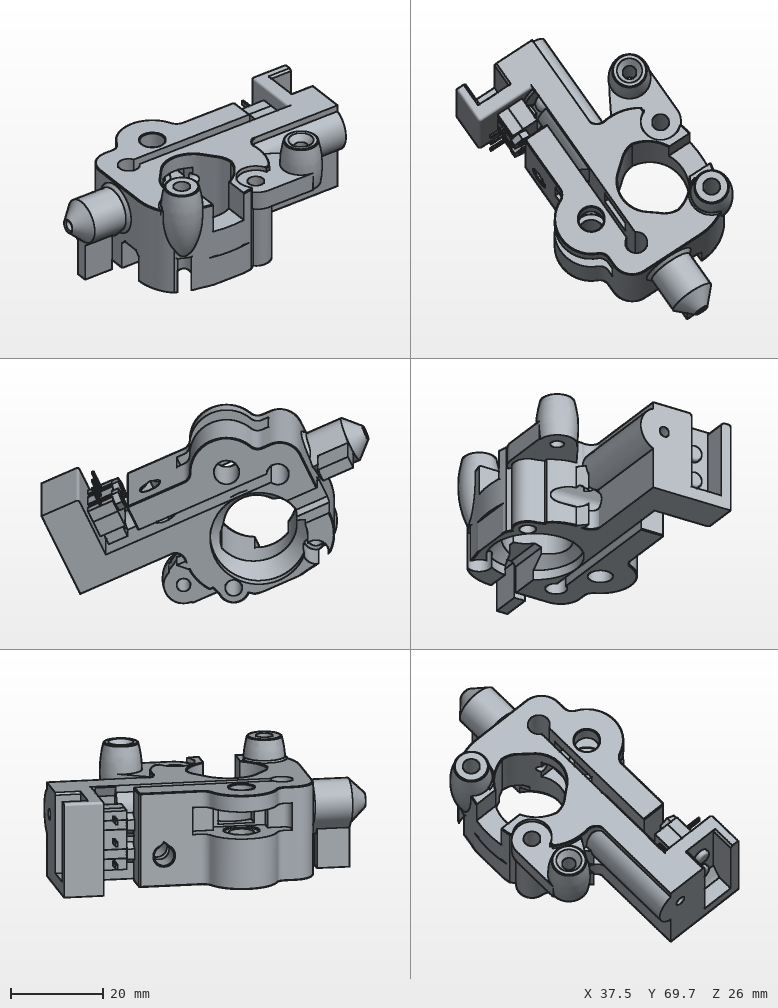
import cadquery as cq
import math

body_height = 21.0
rear_y = 57.0
edge_chamfer = 0.2

path_x = 17.25
path_z = 14.5
path_dia = 2.36

lug_x = 8.0
lug_y = 16.3
lug_radius = lug_x
lug_hole_dia = 5.5
lug_counterbore_dia = 7.9
lug_counterbore_depth = 0.4
recess_front_y = 5.4
recess_rear_y = 27.4
recess_depth_x = 9.2
recess_round = 1.4
recess_bottom_z = 11.3
recess_top_z = 17.35

arm_left_x = 6.1
arm_rear_y = 39.35
arm_edge = 0.4
slit_left_x = 12.0
slit_right_x = 14.2
slit_end_y = 6.4
slit_end_dia = 4.8
clamp_hole_y = 33.75
clamp_hole_z = 6.8
clamp_hole_dia = 4.4

column_right_x = 23.3
column_flat_x = 20.1
bulge_half_height = 4.95
crossbar_left_x = 0.2
crossbar_front_y = 48.1
crossbar_round = 0.6

gear_y = 16.4
gear_x = 24.85
shaft_boss_radius = 10.6
shaft_boss_depth = 2.3
wall_x = 36.9

boss_x = 32.9
front_boss_y = 6.5
rear_boss_y = 38.2
pivot_y = 26.2
boss_radius = 4.6
boss_top_radius = 3.75
boss_top_z = 26.0
mount_hole_dia = 3.7
plate_bottom_z = 15.5
plate_top_z = 19.9
pivot_recess_dia = 8.6
pivot_wall_radius = 3.5

nose_radius = 5.0
nose_length = 9.1
nose_tip_y = -12.65
nose_tip_radius = 1.6
flare = 0.8
rib_width = 2.75

switch_left_x = 5.0
switch_seam_x = 7.7
switch_right_x = 11.4
switch_front_y = 42.2
switch_height = 13.1
switch_z = 11.05
switch_bottom_z = switch_z - switch_height / 2
screw_x = 6.45
screw_spacing = 6.5
screw_center_z = switch_z + 0.18
screw_zs = [screw_center_z + side * screw_spacing / 2 for side in (-1, 1)]
screw_dia = 2.0
nut_flats = 4.0
nut_thickness = 1.6
pocket_wall_y = 51.4
plunger_y = 45.15

sensor_half_width = 2.25
sensor_deep_x = 15.3
sensor_ramp_x = 11.8
sensor_ramp_z = 5.7

ball_dia = 4.0
ball_overlap = 0.05
ball_x = path_x + ball_overlap - ball_dia / 2
ball_channel_dia = 4.3


def box(x0, x1, y0, y1, z0, z1):
    """Block given by its limits along each axis."""
    return cq.Workplane("XY").box(x1 - x0, y1 - y0, z1 - z0, centered=False).translate((x0, y0, z0))


def z_cylinder(x, y, diameter, z0, z1):
    return cq.Workplane("XY", origin=(x, y, z0)).circle(diameter / 2).extrude(z1 - z0)


def y_cylinder(x, z, diameter, y0, y1):
    """Cylinder along Y from y0 back to y1 (y1 > y0)."""
    return cq.Workplane("XZ", origin=(x, y0, z)).circle(diameter / 2).extrude(y0 - y1)


def x_cylinder(y, z, diameter, x0, x1):
    return cq.Workplane("YZ", origin=(x0, y, z)).circle(diameter / 2).extrude(x1 - x0)


def core():
    """Full-height block around the gear chamber, with the clamp arm and idler lug."""
    corner = 4.95
    lug_blend = 2.25
    reach = lug_radius + lug_blend
    blend_x = arm_left_x - lug_blend
    blend_half = math.sqrt(reach**2 - (lug_x - blend_x) ** 2)
    tangent_half = blend_half * lug_radius / reach
    tangent_x = lug_x + (blend_x - lug_x) * lug_radius / reach
    blend_angle = math.atan2(-blend_half, lug_x - blend_x) / 2
    mid_dx = lug_blend * math.cos(blend_angle)
    mid_dy = lug_blend * math.sin(blend_angle)
    diagonal = corner * (1 - math.sqrt(0.5))
    pivot_mid = pivot_wall_radius * math.sqrt(0.5)

    outline = (
        cq.Workplane("XY")
        .moveTo(arm_left_x + corner, 0)
        .lineTo(26.0, 0)
        .threePointArc((28.15, 0.22), (30.2, 0.83))
        .threePointArc((32.35, 1.95), (34.2, 3.6))
        .lineTo(35.5, front_boss_y)
        .lineTo(36.1, 10.1)
        .threePointArc((wall_x, gear_y), (36.2, 22.7))
        .lineTo(boss_x + pivot_mid, pivot_y - pivot_mid)
        .threePointArc((boss_x + pivot_wall_radius, pivot_y), (boss_x, pivot_y + pivot_wall_radius))
        .lineTo(31.1, 30.3)
        .lineTo(31.1, 31.1)
        .threePointArc((28.2, 32.6), (24.8, 33.2))
        .lineTo(column_right_x, 33.2)
        .threePointArc((21.1, 33.5), (column_flat_x, 34.9))
        .lineTo(column_flat_x, arm_rear_y)
        .lineTo(arm_left_x + arm_edge, arm_rear_y)
        .lineTo(arm_left_x, arm_rear_y - arm_edge)
        .lineTo(arm_left_x, lug_y + blend_half)
        .threePointArc(
            (blend_x + mid_dx, lug_y + blend_half + mid_dy), (tangent_x, lug_y + tangent_half)
        )
        .threePointArc((lug_x - lug_radius, lug_y), (tangent_x, lug_y - tangent_half))
        .threePointArc(
            (blend_x + mid_dx, lug_y - blend_half - mid_dy), (arm_left_x, lug_y - blend_half)
        )
        .lineTo(arm_left_x, corner)
        .threePointArc((arm_left_x + diagonal, diagonal), (arm_left_x + corner, 0))
        .close()
    )
    return outline.extrude(body_height).faces("|Z").edges().chamfer(edge_chamfer)


def bulge(side_x, crown_x, front_y):
    """Round bulge along the filament path, from a side wall of the column out to its crown."""
    return (
        cq.Workplane("XZ", origin=(0, rear_y, 0))
        .moveTo(side_x, path_z - bulge_half_height)
        .threePointArc((crown_x, path_z), (side_x, path_z + bulge_half_height))
        .close()
        .extrude(rear_y - front_y)
    )


def column():
    """Upright bar behind the core, bulged on both sides around the filament path."""
    left_crown_x = 12.05
    left_front_y = 26.3
    right_front_y = 30.0
    depth = slit_right_x - left_crown_x
    slope = (
        cq.Workplane("XY")
        .polyline(
            [
                (left_crown_x, left_front_y),
                (slit_right_x, left_front_y),
                (left_crown_x, left_front_y + depth),
            ]
        )
        .close()
        .extrude(body_height)
    )
    left_bulge = bulge(slit_right_x, left_crown_x, left_front_y).cut(slope)
    bar = box(slit_right_x, column_flat_x, right_front_y, rear_y, 0, body_height)
    return bar.union(left_bulge).union(bulge(column_flat_x, column_right_x, right_front_y))


def gusset():
    """Small corner wedge between the right bulge and the core."""
    corner_x = 22.9
    corner_y = 33.0
    leg = 2.2
    return (
        cq.Workplane("XY")
        .polyline([(corner_x, corner_y), (corner_x + leg, corner_y), (corner_x, corner_y + leg)])
        .close()
        .extrude(path_z)
    )


def crossbar():
    """Bar that carries the microswitch, with a screw pocket in its rear side."""
    bar = box(crossbar_left_x, slit_right_x + 1, crossbar_front_y, rear_y, 0, body_height)
    bar = bar.edges("(>Z and <X) or (>Z and <Y) or (<X and <Y)").fillet(crossbar_round)

    pocket_left_x = 2.6
    pocket_right_x = 10.2
    pocket_floor_z = 3.0
    profile = [
        (rear_y, pocket_floor_z),
        (53.35, pocket_floor_z),
        (52.7, pocket_floor_z + 0.8),
        (pocket_wall_y, pocket_floor_z + 2.8),
        (pocket_wall_y, body_height),
        (rear_y, body_height),
    ]
    pocket = (
        cq.Workplane("YZ", origin=(pocket_left_x, 0, 0))
        .polyline(profile)
        .close()
        .extrude(pocket_right_x - pocket_left_x)
    )
    lip = 0.5
    lip_cut = (
        cq.Workplane("XZ", origin=(0, rear_y, 0))
        .polyline(
            [
                (pocket_left_x, body_height - lip),
                (pocket_right_x, body_height - lip),
                (pocket_right_x + lip, body_height),
                (pocket_left_x - lip, body_height),
            ]
        )
        .close()
        .extrude(rear_y - pocket_wall_y)
    )
    return bar.cut(pocket).cut(lip_cut)


def nose():
    """Inlet nose with a cone tip, a flared root and a V-shaped underside standing on a thin rib."""
    root_radius = nose_radius + flare
    half_rib = rib_width / 2
    root_overlap = 0.5
    solid = (
        cq.Workplane("XY", origin=(path_x, 0, path_z))
        .polyline(
            [
                (0, root_overlap),
                (root_radius, root_overlap),
                (root_radius, 0),
                (nose_radius, -flare),
                (nose_radius, -nose_length),
                (nose_tip_radius, nose_tip_y),
                (0, nose_tip_y),
            ]
        )
        .close()
        .revolve(360, (0, 0, 0), (0, 1, 0))
    )

    tangent = nose_radius * math.sqrt(0.5)
    underside = (
        cq.Workplane("XZ", origin=(path_x, 0, 0))
        .polyline(
            [
                (-tangent, path_z - tangent),
                (tangent, path_z - tangent),
                (0, path_z - 2 * tangent),
            ]
        )
        .close()
        .extrude(nose_length)
    )
    rib_gap = 1.9
    rib_top_z = path_z - 2 * tangent + half_rib
    rib = box(path_x - half_rib, path_x + half_rib, -nose_length, -rib_gap, 0, rib_top_z)
    return solid.union(underside).union(rib)


def boss(y, bottom_z):
    """Barrel-shaped mounting boss whose lower end tapers into the wall."""
    belt_bottom_z = 18.9
    belt_top_z = 19.7
    tail_radius = 2.4
    tail_z = 9.4
    barrel = (
        cq.Workplane("XZ", origin=(boss_x, y, 0))
        .moveTo(0, tail_z)
        .lineTo(tail_radius, tail_z)
        .threePointArc((4.0, 14.0), (boss_radius, belt_bottom_z))
        .lineTo(boss_radius, belt_top_z)
        .threePointArc((4.4, 22.9), (boss_top_radius, boss_top_z))
        .lineTo(0, boss_top_z)
        .close()
        .revolve(360, (0, 0, 0), (0, 1, 0))
        .faces(">Z")
        .chamfer(edge_chamfer)
    )
    return barrel.intersect(z_cylinder(boss_x, y, 3 * boss_radius, bottom_z, boss_top_z))


def front_boss_collar():
    """Low chamfered pad around the foot of the front boss."""
    collar_height = 0.4
    collar_radius = boss_radius + collar_height
    pad = z_cylinder(boss_x, front_boss_y, 2 * collar_radius, plate_top_z, body_height + collar_height)
    pad = pad.faces(">Z").chamfer(collar_height)
    return pad.intersect(box(0, boss_x - 1, 0, rear_y, 0, boss_top_z))


def side_plate():
    """Plate that carries the rear boss and the pivot hole."""
    plate_right_x = boss_x + boss_radius
    inner_x = 24.8
    outline = (
        cq.Workplane("XY", origin=(0, 0, plate_bottom_z))
        .moveTo(plate_right_x, rear_boss_y)
        .lineTo(plate_right_x, pivot_y)
        .threePointArc((36.9, 24.2), (boss_x, pivot_y - pivot_recess_dia / 2))
        .lineTo(inner_x, 28.0)
        .lineTo(inner_x, 33.3)
        .lineTo(28.6, 39.8)
        .lineTo(boss_x, rear_boss_y)
        .close()
    )
    return outline.extrude(plate_top_z - plate_bottom_z)


def gear_opening():
    """Lobed vertical opening for the drive gear, chamfered at its upper rim."""
    half_width = 8.85
    right_x = 31.95
    left_x = 16.3
    shoulder_x = 22.8
    shoulder_half = 8.35
    flank_outer = (21.0, 7.1)
    flank_inner = (18.55, 5.1)
    lobes = (
        cq.Workplane("XY", origin=(0, gear_y, 0))
        .moveTo(gear_x, half_width)
        .threePointArc((right_x, 0), (gear_x, -half_width))
        .threePointArc((shoulder_x, -shoulder_half), (flank_outer[0], -flank_outer[1]))
        .lineTo(flank_inner[0], -flank_inner[1])
        .threePointArc((left_x, 0), flank_inner)
        .lineTo(*flank_outer)
        .threePointArc((shoulder_x, shoulder_half), (gear_x, half_width))
        .close()
        .extrude(body_height - edge_chamfer)
    )
    rim = lobes.faces(">Z").wires().toPending().extrude(edge_chamfer, taper=-45, combine=False)
    return lobes.union(rim)


def motor_seat():
    """Round seat at the bottom of the gear opening, closing upward in a 45 degree cone."""
    seat = z_cylinder(gear_x, gear_y, 2 * shaft_boss_radius, 0, shaft_boss_depth)
    cone_height = 5.0
    cone = cq.Workplane("XY").add(
        cq.Solid.makeCone(
            shaft_boss_radius,
            shaft_boss_radius - cone_height,
            cone_height,
            pnt=cq.Vector(gear_x, gear_y, shaft_boss_depth),
        )
    )
    return seat.union(cone)


def side_slot():
    """Opening from the gear chamber out through the right wall."""
    slot_floor_z = 14.0
    half_width = 4.05
    return box(gear_x, wall_x + 1, lug_y - half_width, lug_y + half_width, slot_floor_z, body_height)


def wall_relief():
    """Shallow flat along the foot of the right wall."""
    relief_x = 36.4
    relief_top_z = 7.4
    return box(relief_x, wall_x + 1, 0, rear_y, 0, relief_top_z)


def front_window():
    """Opening at the foot of the front face, with chamfered upper corners."""
    window_left_x = 19.5
    window_right_x = 25.9
    window_height = 7.6
    window_chamfer = 1.1
    window = box(window_left_x, window_right_x, 0, gear_y, 0, window_height)
    return window.edges("|Y and >Z").chamfer(window_chamfer)


def clamp_slit():
    slit = box(slit_left_x, slit_right_x, slit_end_y, crossbar_front_y, 0, body_height)
    end = z_cylinder((slit_left_x + slit_right_x) / 2, slit_end_y, slit_end_dia, 0, body_height)
    return slit.union(end)


def clamp_hole():
    """Teardrop cross hole through the clamp arm and column."""
    mouth = 0.25
    radius = clamp_hole_dia / 2
    tangent = radius * math.sqrt(0.5)
    hole = x_cylinder(clamp_hole_y, clamp_hole_z, clamp_hole_dia, 0, wall_x)
    roof = (
        cq.Workplane("YZ", origin=(0, clamp_hole_y, clamp_hole_z))
        .polyline([(-tangent, tangent), (0, radius * math.sqrt(2)), (tangent, tangent), (0, 0)])
        .close()
        .extrude(wall_x)
    )
    mouth_cone = cq.Solid.makeCone(
        radius + mouth,
        radius,
        mouth,
        pnt=cq.Vector(arm_left_x, clamp_hole_y, clamp_hole_z),
        dir=cq.Vector(1, 0, 0),
    )
    return hole.union(roof).union(cq.Workplane("XY").add(mouth_cone))


def axle_hole():
    """Axle hole of the idler lug, chamfered at its upper rim."""
    hole = z_cylinder(lug_x, lug_y, lug_hole_dia, 0, body_height)
    rim = z_cylinder(lug_x, lug_y, lug_hole_dia + 2 * edge_chamfer, 0, body_height)
    rim = rim.faces("<Z").chamfer(edge_chamfer).translate((0, 0, body_height - edge_chamfer))
    return hole.union(rim)


def idler_recess():
    """Stepped recess across the idler lug, open to the gear opening, with a ring around the axle."""
    roller_half = 6.0
    opening_half = 4.0
    recess = box(0, recess_depth_x, recess_front_y, recess_rear_y, recess_bottom_z, recess_top_z)
    recess = recess.edges("|Z and >X").fillet(recess_round)
    roller = box(
        0, slit_right_x, lug_y - roller_half, lug_y + roller_half, recess_bottom_z, recess_top_z
    )
    opening = box(
        0, gear_x, lug_y - opening_half, lug_y + opening_half, recess_bottom_z, recess_top_z
    )
    counterbore = z_cylinder(
        lug_x, lug_y, lug_counterbore_dia, recess_bottom_z - lug_counterbore_depth, recess_bottom_z
    )
    return recess.union(roller).union(opening).union(counterbore)


def sensor_ramp():
    """Steep ramp on the side of the column under the plunger; its slope is cut by the pocket."""
    return box(
        sensor_ramp_x,
        sensor_deep_x,
        plunger_y - sensor_half_width,
        plunger_y + sensor_half_width,
        sensor_ramp_z,
        path_z,
    )


def sensor_pocket():
    """Pocket beside the plunger, with sloped roof and floor, and the channel of the ball."""
    outer_x = 11.0
    roof_z = 20.7
    profile = [
        (outer_x, roof_z),
        (slit_right_x, roof_z),
        (sensor_deep_x, 18.5),
        (sensor_deep_x, 12.2),
        (sensor_ramp_x, sensor_ramp_z),
        (outer_x, sensor_ramp_z),
    ]
    pocket = (
        cq.Workplane("XZ", origin=(0, plunger_y + sensor_half_width, 0))
        .polyline(profile)
        .close()
        .extrude(2 * sensor_half_width)
    )
    return pocket.union(x_cylinder(plunger_y, path_z, ball_channel_dia, sensor_ramp_x, path_x))


def filament_bore():
    entry_dia = 3.0
    entry_depth = (entry_dia - path_dia) / 2
    bore = y_cylinder(path_x, path_z, path_dia, nose_tip_y, rear_y)
    entry = cq.Solid.makeCone(
        entry_dia / 2,
        path_dia / 2,
        entry_depth,
        pnt=cq.Vector(path_x, nose_tip_y, path_z),
        dir=cq.Vector(0, 1, 0),
    )
    return bore.union(cq.Workplane("XY").add(entry))


def boss_holes():
    """Vertical holes of both bosses and the pivot.

    The front hole widens at the bottom for a screw head, and the rear boss has a conical mouth.
    """
    rear_hole_dia = 3.0
    head_bore_dia = 5.5
    head_bore_depth = 8.9
    mouth_dia = 5.5
    mouth_depth = 1.5
    front = z_cylinder(boss_x, front_boss_y, mount_hole_dia, 0, boss_top_z)
    head_bore = z_cylinder(boss_x, front_boss_y, head_bore_dia, 0, head_bore_depth)
    pivot = z_cylinder(boss_x, pivot_y, mount_hole_dia, 0, boss_top_z)
    rear = z_cylinder(boss_x, rear_boss_y, rear_hole_dia, 0, boss_top_z)
    mouth = cq.Solid.makeCone(
        rear_hole_dia / 2,
        mouth_dia / 2,
        mouth_depth,
        pnt=cq.Vector(boss_x, rear_boss_y, boss_top_z - mouth_depth),
    )
    return front.union(head_bore).union(pivot).union(rear).union(cq.Workplane("XY").add(mouth))


def make_housing():
    body = core().cut(z_cylinder(boss_x, pivot_y, pivot_recess_dia, plate_top_z, body_height))
    body = body.union(side_plate()).cut(clamp_slit())
    body = body.union(column()).union(gusset()).union(crossbar()).union(sensor_ramp())
    body = body.union(boss(front_boss_y, 0)).union(front_boss_collar())
    body = body.union(boss(rear_boss_y, plate_bottom_z)).union(nose())
    for cut in (
        gear_opening(),
        motor_seat(),
        axle_hole(),
        wall_relief(),
        side_slot(),
        front_window(),
        clamp_hole(),
        idler_recess(),
        sensor_pocket(),
        filament_bore(),
        boss_holes(),
    ):
        body = body.cut(cut)
    for z in screw_zs:
        body = body.cut(y_cylinder(screw_x, z, screw_dia, crossbar_front_y, pocket_wall_y))
    return body


def switch_half(x0, x1):
    """Part of the switch body between two X positions."""
    return box(x0, x1, switch_front_y, crossbar_front_y, switch_bottom_z, switch_bottom_z + switch_height)


def make_switch_base():
    """Left half of the switch with grooves, three terminal pins and the screw holes."""
    groove_width = 2.1
    groove_depth = 0.3
    pin_left_x = 1.1
    pin_spacing = 5.0
    pin_width = 0.45
    pin_height = 0.9
    base = switch_half(switch_left_x, switch_seam_x)
    for z in screw_zs:
        base = base.cut(
            box(
                switch_left_x,
                switch_left_x + groove_depth,
                switch_front_y,
                crossbar_front_y,
                z - groove_width / 2,
                z + groove_width / 2,
            )
        )
        base = base.cut(y_cylinder(screw_x, z, screw_dia, switch_front_y, crossbar_front_y))
    for step in (-1, 0, 1):
        z = switch_z + step * pin_spacing
        base = base.union(
            box(
                pin_left_x,
                switch_left_x + groove_depth,
                plunger_y - pin_width / 2,
                plunger_y + pin_width / 2,
                z - pin_height / 2,
                z + pin_height / 2,
            )
        )
    return base


def make_switch_cover():
    """Right half of the switch with its collar and plunger."""
    collar_width = 2.7
    collar_x = 11.8
    plunger_width = 2.3
    plunger_x = 12.45
    cover = switch_half(switch_seam_x, switch_right_x)
    for width, end_x in ((collar_width, collar_x), (plunger_width, plunger_x)):
        cover = cover.union(
            box(
                switch_right_x,
                end_x,
                plunger_y - width / 2,
                plunger_y + width / 2,
                path_z - width / 2,
                path_z + width / 2,
            )
        )
    return cover


def make_ball():
    return cq.Workplane("XY", origin=(ball_x, plunger_y, path_z)).sphere(ball_dia / 2)


def make_screw(z):
    """Screw with its head in the crossbar pocket and its chamfered end flush with the nut."""
    head_dia = 3.7
    head_height = 1.2
    head_round = 0.6
    end_dia = 1.48
    shank = y_cylinder(screw_x, z, screw_dia, switch_front_y - nut_thickness, pocket_wall_y)
    shank = shank.faces("<Y").chamfer((screw_dia - end_dia) / 2)
    head = y_cylinder(screw_x, z, head_dia, pocket_wall_y, pocket_wall_y + head_height)
    return shank.union(head.faces(">Y").edges().fillet(head_round))


def make_nut(z):
    """Hexagon nut with a corner pointing up."""
    return (
        cq.Workplane("XZ", origin=(screw_x, switch_front_y, z))
        .polygon(6, nut_flats / math.cos(math.pi / 6))
        .extrude(nut_thickness)
        .rotate((screw_x, 0, z), (screw_x, 1, z), 30)
        .cut(y_cylinder(screw_x, z, screw_dia, switch_front_y - nut_thickness, switch_front_y))
    )


housing = make_housing()
switch_base = make_switch_base()
switch_cover = make_switch_cover()
ball = make_ball()
screws = [make_screw(z) for z in screw_zs]
nuts = [make_nut(z) for z in screw_zs]

result = cq.Compound.makeCompound(
    [housing.val(), switch_base.val(), switch_cover.val(), ball.val()]
    + [screw.val() for screw in screws]
    + [nut.val() for nut in nuts]
)